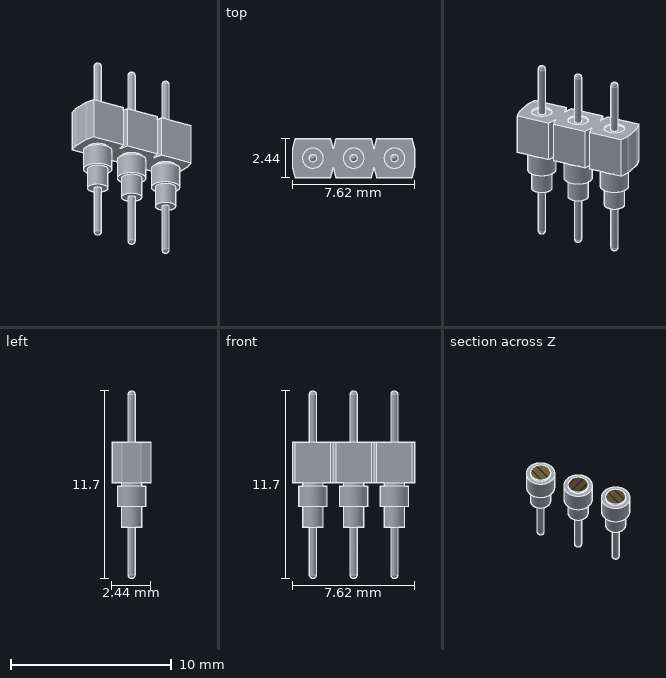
import cadquery as cq

total_length = 11.68
contact_count = 3
housing_length = 7.62
pitch = housing_length / contact_count

housing_width = 2.44
housing_bottom = 5.96
housing_height = 2.53
housing_top = housing_bottom + housing_height
bevel_run = 0.16
neck_width = 1.18

pin_diameter = 0.45
pin_radius = pin_diameter / 2
barrel_diameter = 1.27
barrel_bottom = 3.18
barrel_recess = 0.09
barrel_top = housing_top - barrel_recess
collar_diameter = 1.78
collar_bottom = 4.47
collar_top = 5.75

contact_positions = [
    (index - (contact_count - 1) / 2) * pitch for index in range(contact_count)
]


def make_segment(x_center):
    """One housing segment: an octagonal block whose ends meet its neighbours."""
    half_pitch = pitch / 2
    half_face = half_pitch - bevel_run
    half_width = housing_width / 2
    half_neck = neck_width / 2
    return (
        cq.Workplane("XY", origin=(x_center, 0, housing_bottom))
        .polyline([
            (-half_pitch, -half_neck),
            (-half_face, -half_width),
            (half_face, -half_width),
            (half_pitch, -half_neck),
            (half_pitch, half_neck),
            (half_face, half_width),
            (-half_face, half_width),
            (-half_pitch, half_neck),
        ])
        .close()
        .extrude(housing_height)
    )


def make_housing():
    """Joined segments with a through hole for each contact barrel."""
    housing = make_segment(contact_positions[0])
    for x_center in contact_positions[1:]:
        housing = housing.union(make_segment(x_center))
    holes = (
        cq.Workplane("XY", origin=(0, 0, housing_bottom))
        .pushPoints([(x_center, 0) for x_center in contact_positions])
        .circle(barrel_diameter / 2)
        .extrude(housing_height)
    )
    return housing.cut(holes).clean()


def make_contact(x_center):
    """Turned contact: round-ended pin, barrel and collar revolved about Z."""
    barrel_radius = barrel_diameter / 2
    collar_radius = collar_diameter / 2
    dome_offset = pin_radius * 0.5 ** 0.5
    bottom_dome_center = pin_radius
    top_dome_center = total_length - pin_radius
    return (
        cq.Workplane("XZ")
        .moveTo(0, 0)
        .threePointArc((dome_offset, bottom_dome_center - dome_offset), (pin_radius, bottom_dome_center))
        .lineTo(pin_radius, barrel_bottom)
        .lineTo(barrel_radius, barrel_bottom)
        .lineTo(barrel_radius, collar_bottom)
        .lineTo(collar_radius, collar_bottom)
        .lineTo(collar_radius, collar_top)
        .lineTo(barrel_radius, collar_top)
        .lineTo(barrel_radius, barrel_top)
        .lineTo(pin_radius, barrel_top)
        .lineTo(pin_radius, top_dome_center)
        .threePointArc((dome_offset, top_dome_center + dome_offset), (0, total_length))
        .close()
        .revolve(360, (0, 0, 0), (0, 1, 0))
        .translate((x_center, 0, 0))
    )


housing = make_housing()
contacts = [make_contact(x_center) for x_center in contact_positions]
result = cq.Compound.makeCompound(
    [housing.val(), *[contact.val() for contact in contacts]]
)